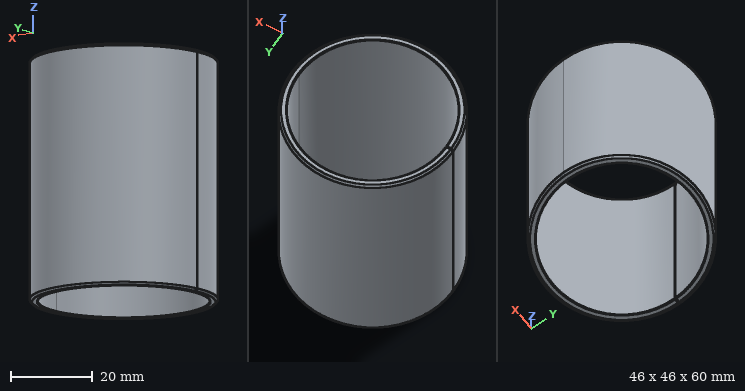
import cadquery as cq

length = 60.0
outer_diameter = 46.0
bore_diameter = 42.0
outer_chamfer = 0.6
bore_chamfer = 0.2
slit_width = 0.3

outer_radius = outer_diameter / 2
bore_radius = bore_diameter / 2


def bushing_wall():
    """Revolve the wall section, chamfered at all four corners, about Z."""
    half_length = length / 2
    section = [
        (bore_radius, -half_length + bore_chamfer),
        (bore_radius + bore_chamfer, -half_length),
        (outer_radius - outer_chamfer, -half_length),
        (outer_radius, -half_length + outer_chamfer),
        (outer_radius, half_length - outer_chamfer),
        (outer_radius - outer_chamfer, half_length),
        (bore_radius + bore_chamfer, half_length),
        (bore_radius, half_length - bore_chamfer),
    ]
    return cq.Workplane("XZ").polyline(section).close().revolve(360, (0, 0), (0, 1))


def butt_joint_slit():
    """Thin cutter through the -X wall over the full length, with one face on the XZ plane."""
    cutter = cq.Workplane("XY").box(outer_radius, slit_width, length, centered=(False, False, True))
    return cutter.translate((-outer_radius, 0, 0))


result = bushing_wall().cut(butt_joint_slit())